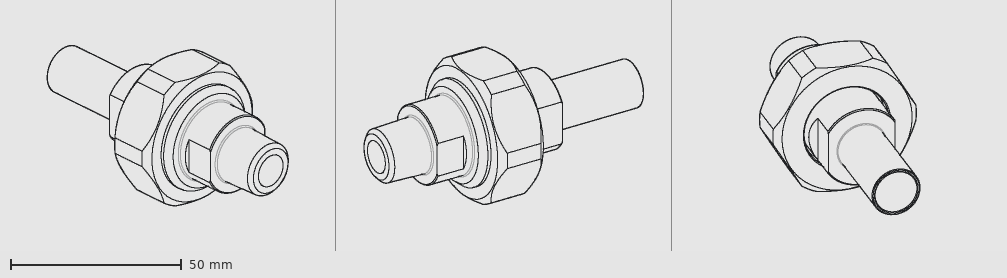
import cadquery as cq
import math

LENGTH = 87.5
BORE_D = 10.0

TUBE_D = 15.0
TUBE_BORE_D = 13.0
TUBE_EDGE = 0.3
SHOULDER_X = 29.8
SHOULDER_D = 25.0
SHOULDER_EDGE = 0.35
SHOULDER_FILLET = 0.3
SHOULDER_FLATS = 20.8
SHOULDER_FLAT_END_X = 38.85
FLANGE_D = 30.3
FLANGE_LENGTH = 4.4
BORE_TAPER_LENGTH = 2.6

NUT_X = 42.5
NUT_LENGTH = 15.75
NUT_ACROSS_FLATS = 41.0
NUT_CORNER_D = 44.7
NUT_CHAMFER = 2.1
NUT_LIP = 4.4
NUT_LIP_D = 26.5
NUT_LIP_EDGE = 0.35

BIG_THREAD_D = 33.1
BIG_THREAD_END_D = 29.5
BIG_THREAD_CHAMFER_X = 59.3
BIG_THREAD_END_X = 61.5
HUB_D = 24.5
HUB_END_X = 73.4
HUB_EDGE = 0.35
HUB_FLATS = 22.0
HUB_FLAT_X = 64.3
HUB_FLAT_RUNOUT = 0.3
ADAPTER_FILLET = 0.4
PIPE_ROOT_D = 17.3
PIPE_TIP_D = 16.5
PIPE_CHAMFER_X = 86.3
PIPE_END_D = 14.0

flange_x = NUT_X + NUT_LIP
adapter_x = flange_x + FLANGE_LENGTH
nut_end_x = NUT_X + NUT_LENGTH


def revolve_about_x(profile):
    """Revolve a closed (x, radius) profile around the X axis."""
    return profile.close().revolve(360, (0, 0, 0), (1, 0, 0))


def flat_cutters(start_x, end_x, across_flats, outer_d, start_runout=0.0, end_runout=0.0):
    """Two cutters on +Y and -Y; the runouts lengthen them along X at the outer diameter."""
    inner = across_flats / 2
    outer = outer_d / 2
    cutter = (
        cq.Workplane("XY")
        .moveTo(start_x, inner)
        .lineTo(end_x, inner)
        .lineTo(end_x + end_runout, outer)
        .lineTo(end_x + end_runout, outer_d)
        .lineTo(start_x - start_runout, outer_d)
        .lineTo(start_x - start_runout, outer)
        .close()
        .extrude(outer, both=True)
    )
    return cutter, cutter.mirror("XZ")


def make_tailpiece():
    tube_r = TUBE_D / 2
    shoulder_r = SHOULDER_D / 2
    profile = (
        cq.Workplane("XY")
        .moveTo(TUBE_EDGE, TUBE_BORE_D / 2)
        .lineTo(0, TUBE_BORE_D / 2 + TUBE_EDGE)
        .lineTo(0, tube_r - TUBE_EDGE)
        .lineTo(TUBE_EDGE, tube_r)
        .lineTo(SHOULDER_X - SHOULDER_FILLET, tube_r)
        .radiusArc((SHOULDER_X, tube_r + SHOULDER_FILLET), -SHOULDER_FILLET)
        .lineTo(SHOULDER_X, shoulder_r - SHOULDER_EDGE)
        .lineTo(SHOULDER_X + SHOULDER_EDGE, shoulder_r)
        .lineTo(flange_x, shoulder_r)
        .lineTo(flange_x, FLANGE_D / 2)
        .lineTo(adapter_x, FLANGE_D / 2)
        .lineTo(adapter_x, BORE_D / 2)
        .lineTo(SHOULDER_X + BORE_TAPER_LENGTH, BORE_D / 2)
        .lineTo(SHOULDER_X, TUBE_BORE_D / 2)
    )
    tailpiece = revolve_about_x(profile)
    runout = (SHOULDER_D - SHOULDER_FLATS) / 2
    for cutter in flat_cutters(
        SHOULDER_X, SHOULDER_FLAT_END_X, SHOULDER_FLATS, SHOULDER_D, end_runout=runout
    ):
        tailpiece = tailpiece.cut(cutter)
    return tailpiece


def make_nut():
    corner_r = NUT_CORNER_D / 2
    hexagon = (
        cq.Workplane("YZ")
        .workplane(offset=NUT_X)
        .polygon(6, NUT_ACROSS_FLATS / math.cos(math.pi / 6))
        .extrude(NUT_LENGTH)
    )
    disc = (
        cq.Workplane("YZ")
        .workplane(offset=NUT_X)
        .circle(corner_r)
        .extrude(NUT_LENGTH)
        .edges()
        .chamfer(NUT_CHAMFER)
    )
    lip_r = NUT_LIP_D / 2
    cavity = revolve_about_x(
        cq.Workplane("XY")
        .moveTo(NUT_X, 0)
        .lineTo(NUT_X, lip_r + NUT_LIP_EDGE)
        .lineTo(NUT_X + NUT_LIP_EDGE, lip_r)
        .lineTo(flange_x, lip_r)
        .lineTo(flange_x, BIG_THREAD_D / 2)
        .lineTo(nut_end_x, BIG_THREAD_D / 2)
        .lineTo(nut_end_x, 0)
    )
    return hexagon.intersect(disc).cut(cavity)


def make_adapter():
    hub_r = HUB_D / 2
    pipe_root_r = PIPE_ROOT_D / 2
    profile = (
        cq.Workplane("XY")
        .moveTo(adapter_x, BORE_D / 2)
        .lineTo(adapter_x, BIG_THREAD_D / 2)
        .lineTo(BIG_THREAD_CHAMFER_X, BIG_THREAD_D / 2)
        .lineTo(BIG_THREAD_END_X, BIG_THREAD_END_D / 2)
        .lineTo(BIG_THREAD_END_X, hub_r + ADAPTER_FILLET)
        .radiusArc((BIG_THREAD_END_X + ADAPTER_FILLET, hub_r), -ADAPTER_FILLET)
        .lineTo(HUB_END_X - HUB_EDGE, hub_r)
        .lineTo(HUB_END_X, hub_r - HUB_EDGE)
        .lineTo(HUB_END_X, pipe_root_r + ADAPTER_FILLET)
        .radiusArc((HUB_END_X + ADAPTER_FILLET, pipe_root_r), -ADAPTER_FILLET)
        .lineTo(PIPE_CHAMFER_X, PIPE_TIP_D / 2)
        .lineTo(LENGTH, PIPE_END_D / 2)
        .lineTo(LENGTH, BORE_D / 2)
    )
    adapter = revolve_about_x(profile)
    for cutter in flat_cutters(
        HUB_FLAT_X, HUB_END_X, HUB_FLATS, HUB_D, start_runout=HUB_FLAT_RUNOUT
    ):
        adapter = adapter.cut(cutter)
    return adapter


tailpiece = make_tailpiece()
nut = make_nut()
adapter = make_adapter()
result = cq.Compound.makeCompound([body.solids().val() for body in (tailpiece, nut, adapter)])